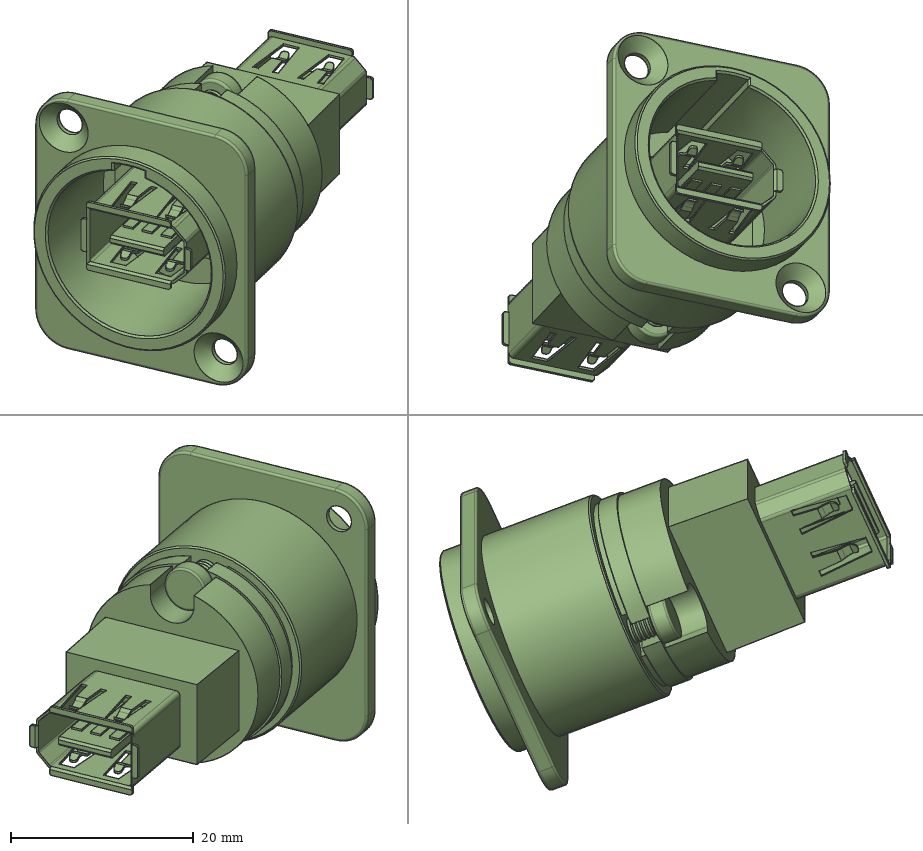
import cadquery as cq


TOTAL_LENGTH = 46.1
PLATE_FRONT = 3.0
PLATE_THICKNESS = 2.05
BODY_REAR = 17.9
FLANGE_FRONT = 18.55
FLANGE_REAR = 20.75
CLAMP_REAR = 25.8
BLOCK_REAR = 35.1

PLATE_WIDTH = 26.05
PLATE_HEIGHT = 31.05
PLATE_CORNER_RADIUS = 4.0
PLATE_EDGE_FILLET = 0.28
MOUNT_HOLE_X = 9.5
MOUNT_HOLE_Z = 12.0
MOUNT_HOLE_DIAMETER = 3.1
COUNTERSINK_DIAMETER = 6.0
COUNTERSINK_ANGLE = 90.0

BODY_DIAMETER = 23.5
BODY_CHAMFER = 0.2
CAVITY_RADIUS = 10.0
CAVITY_TAPER = 0.25
CAVITY_MOUTH_CHAMFER = 0.25
KEYWAY_RADIUS = 10.9
KEYWAY_WIDTH = 3.75
INSERT_RISE = 0.45
INSERT_WIDE = (16.3, 9.3)
INSERT_TALL = (12.4, 11.8)

CLAMP_DIAMETER = 21.35
FLANGE_DIAMETER = 21.85
BLOCK_FRONT_WIDTH = 16.6
BLOCK_REAR_WIDTH = 16.3
BLOCK_HEIGHT = 9.85

SCREW_OFFSET = 9.05
SCREW_HEAD_DIAMETER = 5.1
SCREW_HEAD_HEIGHT = 2.1
SCREW_HEAD_REAR_FILLET = 0.25
SCREW_HEAD_FRONT_FILLET = 0.3
SCREW_POCKET_DIAMETER = 5.45
SCREW_SLOT_WIDTH = 3.15
THREAD_DIAMETER = 2.9
THREAD_ROOT_DIAMETER = 2.5
THREAD_PITCH = 0.5

SOCKET_LENGTH = TOTAL_LENGTH - BLOCK_REAR
FRONT_SOCKET_TIP = 1.7
SHELL_HALF_WIDTH = 6.05
SHELL_HALF_HEIGHT = 3.55
SHELL_WALL = 0.28
SHELL_BEND_RADIUS = 0.55
SLANT_START_X = 4.47
SLANT_END_Z = 2.05
FLARE_ANGLE = 45.0
TAB_THICKNESS = 0.3
TAB_REACH = 0.7
TAB_CORNER = 0.3
TOP_TAB_END_X = 4.25
LEFT_TAB_WIDTH = 4.05
RIGHT_TAB_WIDTH = 2.67

TONGUE_SETBACK = 0.25
TONGUE_WIDTH = 6.55
TONGUE_THICKNESS = 1.05
TONGUE_CHAMFER = 0.28
CONTACT_COUNT = 3
CONTACT_PITCH = 2.35
CONTACT_WIDTH = 1.25
CONTACT_RISE = 0.25
CONTACT_LENGTH = 8.3

WINDOW_X = 2.75
WINDOW_ROOT = 3.55
WINDOW_LENGTH = 6.25
WINDOW_ROOT_WIDTH = 3.15
WINDOW_TIP_WIDTH = 1.9
FINGER_LENGTH = 5.0
FINGER_ROOT_WIDTH = 1.75
FINGER_TIP_WIDTH = 0.95
FINGER_TIP_ROUND = 0.4
FINGER_FLAT_LENGTH = 2.75
FINGER_DIP_POSITION = 4.2
FINGER_DIP = 0.6
FINGER_CURVE_START = 3.27
FINGER_CURVE_START_DROP = 0.28
FINGER_CURVE_SAG = 0.07
FINGER_TIP_DROP = 0.1

INSERT_FACE = FRONT_SOCKET_TIP + SOCKET_LENGTH
CAVITY_DEPTH = INSERT_FACE + INSERT_RISE


def xz_plane(y):
    """Plane across the axis at y, with local X along +X and local Y along +Z."""
    return cq.Workplane(cq.Plane(origin=(0, y, 0), xDir=(1, 0, 0), normal=(0, -1, 0)))


def disc(diameter, start, end):
    """Round bar on the connector axis from start to end."""
    return xz_plane(end).circle(diameter / 2).extrude(end - start)


def bar(width, height, start, end):
    """Rectangular bar centred on the connector axis from start to end."""
    return xz_plane(end).rect(width, height).extrude(end - start)


def mounting_plate():
    plate = bar(PLATE_WIDTH, PLATE_HEIGHT, PLATE_FRONT, PLATE_FRONT + PLATE_THICKNESS)
    plate = plate.edges("|Y").fillet(PLATE_CORNER_RADIUS)
    return plate.faces("<Y or >Y").edges().fillet(PLATE_EDGE_FILLET)


def drill_mounting_holes(part):
    holes = xz_plane(PLATE_FRONT).pushPoints([(-MOUNT_HOLE_X, MOUNT_HOLE_Z), (MOUNT_HOLE_X, -MOUNT_HOLE_Z)])
    bore = holes.circle(MOUNT_HOLE_DIAMETER / 2).extrude(-PLATE_THICKNESS)
    sink_depth = (COUNTERSINK_DIAMETER - MOUNT_HOLE_DIAMETER) / 2
    sink = holes.circle(COUNTERSINK_DIAMETER / 2).extrude(-sink_depth, taper=COUNTERSINK_ANGLE / 2)
    return part.cut(bore).cut(sink)


def cavity_cone(mouth_radius):
    """Chamfered, slightly tapering bore."""
    profile = [
        (0, 0),
        (mouth_radius + CAVITY_MOUTH_CHAMFER, 0),
        (mouth_radius, CAVITY_MOUTH_CHAMFER),
        (mouth_radius - CAVITY_TAPER, CAVITY_DEPTH),
        (0, CAVITY_DEPTH),
    ]
    return cq.Workplane("XY").polyline(profile).close().revolve(360, (0, 0, 0), (0, 1, 0))


def body():
    barrel = disc(BODY_DIAMETER, 0, BODY_REAR).faces("<Y or >Y").edges().chamfer(BODY_CHAMFER)
    key_half = KEYWAY_WIDTH / 2
    key_outline = [
        (-key_half - CAVITY_MOUTH_CHAMFER, 0),
        (key_half + CAVITY_MOUTH_CHAMFER, 0),
        (key_half, CAVITY_MOUTH_CHAMFER),
        (key_half, CAVITY_DEPTH),
        (-key_half, CAVITY_DEPTH),
        (-key_half, CAVITY_MOUTH_CHAMFER),
    ]
    key_block = cq.Workplane("XY").polyline(key_outline).close().extrude(BODY_DIAMETER / 2)
    keyway = cavity_cone(KEYWAY_RADIUS).intersect(key_block)
    shell = barrel.union(mounting_plate()).cut(cavity_cone(CAVITY_RADIUS)).cut(keyway)
    shell = drill_mounting_holes(shell)
    insert = bar(*INSERT_WIDE, INSERT_FACE, BODY_REAR).union(bar(*INSERT_TALL, INSERT_FACE, BODY_REAR))
    return shell.union(insert)


def screw_slot(width, start, end, side):
    """Round-bottomed radial slot around a screw; side is +1 for the top and -1 for the bottom."""
    seat = xz_plane(end).center(0, side * SCREW_OFFSET)
    slot = seat.circle(width / 2).extrude(end - start)
    return slot.union(seat.center(0, side * width / 2).rect(width, width).extrude(end - start))


def clamp():
    ring = disc(CLAMP_DIAMETER, BODY_REAR, CLAMP_REAR)
    flange = disc(FLANGE_DIAMETER, FLANGE_FRONT, FLANGE_REAR)
    for side in (1, -1):
        ring = ring.cut(screw_slot(SCREW_POCKET_DIAMETER, BODY_REAR, CLAMP_REAR, side))
        flange = flange.cut(screw_slot(SCREW_SLOT_WIDTH, FLANGE_FRONT, FLANGE_REAR, side))
    return ring.union(flange)


def screw(side):
    """Round-headed screw with a ringed thread, clamping the flange to the body."""
    seat = xz_plane(FLANGE_REAR).center(0, side * SCREW_OFFSET)
    head = seat.circle(SCREW_HEAD_DIAMETER / 2).extrude(-SCREW_HEAD_HEIGHT)
    head = head.edges(">Y").fillet(SCREW_HEAD_REAR_FILLET)
    head = head.edges("<Y").fillet(SCREW_HEAD_FRONT_FILLET)
    root = THREAD_ROOT_DIAMETER / 2
    crest = THREAD_DIAMETER / 2
    thread_count = int((FLANGE_REAR - BODY_REAR) / THREAD_PITCH) + 1
    profile = [(0, 0), (root, 0)]
    for turn in range(thread_count):
        profile.append((crest, -(turn + 0.5) * THREAD_PITCH))
        profile.append((root, -(turn + 1) * THREAD_PITCH))
    profile.append((0, -thread_count * THREAD_PITCH))
    shank = cq.Workplane("XY").polyline(profile).close().revolve(360, (0, 0, 0), (0, 1, 0))
    return head.union(shank.translate((0, FLANGE_REAR, side * SCREW_OFFSET)))


def rear_block():
    front = BLOCK_FRONT_WIDTH / 2
    rear = BLOCK_REAR_WIDTH / 2
    outline = [(-front, CLAMP_REAR), (front, CLAMP_REAR), (rear, BLOCK_REAR), (-rear, BLOCK_REAR)]
    return cq.Workplane("XY").polyline(outline).close().extrude(BLOCK_HEIGHT / 2, both=True)


def shell_section():
    """Sharp outer section of the shell, with slanted corners on the right."""
    w = SHELL_HALF_WIDTH
    h = SHELL_HALF_HEIGHT
    outline = [
        (-w, -h),
        (SLANT_START_X, -h),
        (w, -SLANT_END_Z),
        (w, SLANT_END_Z),
        (SLANT_START_X, h),
        (-w, h),
    ]
    return xz_plane(SOCKET_LENGTH).polyline(outline).close()


def tapered_strip(root_width, tip_width, length):
    """Solid standing on Z = 0, narrowing along +Y from the window root to its tip."""
    outline = [
        (-root_width / 2, WINDOW_ROOT),
        (root_width / 2, WINDOW_ROOT),
        (tip_width / 2, WINDOW_ROOT + length),
        (-tip_width / 2, WINDOW_ROOT + length),
    ]
    return cq.Workplane("XY").polyline(outline).close().extrude(SHELL_HALF_HEIGHT)


def spring_finger():
    """Finger that runs flat from its root, dips into the socket and rises to a rounded tip."""
    flat_end = WINDOW_ROOT + FINGER_FLAT_LENGTH
    curve_start = WINDOW_ROOT + FINGER_CURVE_START
    dip = WINDOW_ROOT + FINGER_DIP_POSITION
    tip = WINDOW_ROOT + FINGER_LENGTH
    curve_middle = (curve_start + dip) / 2
    curve_middle_drop = (FINGER_CURVE_START_DROP + FINGER_DIP) / 2 + FINGER_CURVE_SAG
    top = SHELL_HALF_HEIGHT
    under = SHELL_HALF_HEIGHT - SHELL_WALL
    strip = (
        cq.Workplane("YZ")
        .moveTo(WINDOW_ROOT, top)
        .lineTo(flat_end, top)
        .lineTo(curve_start, top - FINGER_CURVE_START_DROP)
        .threePointArc((curve_middle, top - curve_middle_drop), (dip, top - FINGER_DIP))
        .lineTo(tip, top - FINGER_TIP_DROP)
        .lineTo(tip, under - FINGER_TIP_DROP)
        .lineTo(dip, under - FINGER_DIP)
        .threePointArc(
            (curve_middle, under - curve_middle_drop),
            (curve_start, under - FINGER_CURVE_START_DROP),
        )
        .lineTo(flat_end, under)
        .lineTo(WINDOW_ROOT, under)
        .close()
        .extrude(FINGER_ROOT_WIDTH, both=True)
    )
    blank = tapered_strip(FINGER_ROOT_WIDTH, FINGER_TIP_WIDTH, FINGER_LENGTH)
    blank = blank.edges("|Z and >Y").fillet(FINGER_TIP_ROUND)
    return strip.intersect(blank)


def shell_tabs():
    """Outward lips at the mouth of the shell."""
    top_width = SHELL_HALF_WIDTH + TOP_TAB_END_X
    top_x = (TOP_TAB_END_X - SHELL_HALF_WIDTH) / 2
    tall = 2 * (SHELL_HALF_HEIGHT + TAB_REACH)
    half_reach = SHELL_HALF_WIDTH + TAB_REACH
    lips = xz_plane(SOCKET_LENGTH).center(top_x, 0).rect(top_width, tall).extrude(TAB_THICKNESS)
    lips = lips.edges("|Y").fillet(TAB_CORNER)
    for side, width in ((-1, LEFT_TAB_WIDTH), (1, RIGHT_TAB_WIDTH)):
        lip = xz_plane(SOCKET_LENGTH).center(side * half_reach / 2, 0).rect(half_reach, width)
        lips = lips.union(lip.extrude(TAB_THICKNESS).edges("|Y").fillet(TAB_CORNER))
    return lips


def tongue():
    tip = SOCKET_LENGTH - TONGUE_SETBACK
    blade = bar(TONGUE_WIDTH, TONGUE_THICKNESS, 0, tip)
    blade = blade.faces(">Y").edges("|X").chamfer(TONGUE_CHAMFER)
    for index in range(CONTACT_COUNT):
        x = (index - (CONTACT_COUNT - 1) / 2) * CONTACT_PITCH
        contact = bar(CONTACT_WIDTH, TONGUE_THICKNESS + 2 * CONTACT_RISE, 0, CONTACT_LENGTH)
        blade = blade.union(contact.translate((x, 0, 0)))
    return blade


def socket():
    """Socket standing on Y = 0 with its mouth at Y = SOCKET_LENGTH."""
    outer = shell_section().extrude(SOCKET_LENGTH).edges("|Y").fillet(SHELL_BEND_RADIUS)
    outer = outer.translate((0, -TAB_THICKNESS, 0)).union(shell_tabs())
    inner = shell_section().offset2D(-SHELL_WALL, "intersection").extrude(SOCKET_LENGTH)
    inner = inner.edges("|Y").fillet(SHELL_BEND_RADIUS - SHELL_WALL)
    flare = shell_section().extrude(SHELL_WALL, taper=FLARE_ANGLE)
    shell = outer.cut(inner).cut(flare)
    window = tapered_strip(WINDOW_ROOT_WIDTH, WINDOW_TIP_WIDTH, WINDOW_LENGTH)
    finger = spring_finger()
    for x in (-WINDOW_X, WINDOW_X):
        placed_window = window.translate((x, 0, 0))
        placed_finger = finger.translate((x, 0, 0))
        shell = shell.cut(placed_window).cut(placed_window.mirror("XY"))
        shell = shell.union(placed_finger).union(placed_finger.mirror("XY"))
    return shell.union(tongue())


result = body().union(clamp()).union(rear_block())
for screw_side in (1, -1):
    result = result.union(screw(screw_side))
rear_socket = socket()
result = result.union(rear_socket.translate((0, BLOCK_REAR, 0)))
result = result.union(rear_socket.mirror("XZ").translate((0, INSERT_FACE, 0)))